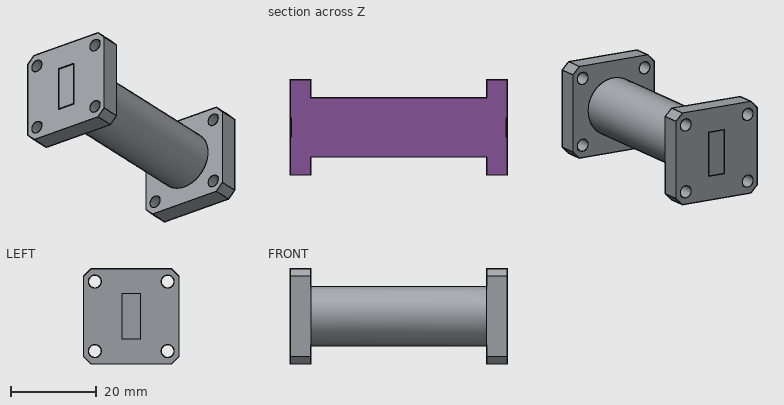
import cadquery as cq

INCH = 25.4

total_length = 2.0 * INCH
flange_side = 0.88 * INCH
flange_thickness = 0.19 * INCH
corner_chamfer = 0.07 * INCH
body_diameter = 0.55 * INCH

hole_diameter = 0.116 * INCH
hole_spacing_y = 0.67 * INCH
hole_spacing_z = 0.64 * INCH

window_width_y = 0.17 * INCH
window_height_z = 0.42 * INCH
window_depth = 0.01 * INCH

half_length = total_length / 2


def section_plane(x):
    """Workplane across the axis at x, with local x along +Z and local y along -Y."""
    return cq.Workplane(cq.Plane(origin=(x, 0, 0), xDir=(0, 0, 1), normal=(1, 0, 0)))


def make_flange(x_start):
    """Chamfered square flange with four bolt holes, extending toward +X from x_start."""
    plate = section_plane(x_start).rect(flange_side, flange_side).extrude(flange_thickness)
    plate = plate.edges("|X").chamfer(corner_chamfer)
    holes = (
        section_plane(x_start)
        .rect(hole_spacing_z, hole_spacing_y, forConstruction=True)
        .vertices()
        .circle(hole_diameter / 2)
        .extrude(flange_thickness)
    )
    return plate.cut(holes)


def make_window(x_start):
    """Shallow rectangular block that sinks a window into a flange face."""
    return section_plane(x_start).rect(window_height_z, window_width_y).extrude(window_depth)


def make_body():
    """Round body filling the space between the flanges."""
    body_length = total_length - 2 * flange_thickness
    start = section_plane(-half_length + flange_thickness)
    return start.circle(body_diameter / 2).extrude(body_length)


result = make_body()
for flange_start in (-half_length, half_length - flange_thickness):
    result = result.union(make_flange(flange_start))
for window_start in (-half_length, half_length - window_depth):
    result = result.cut(make_window(window_start))